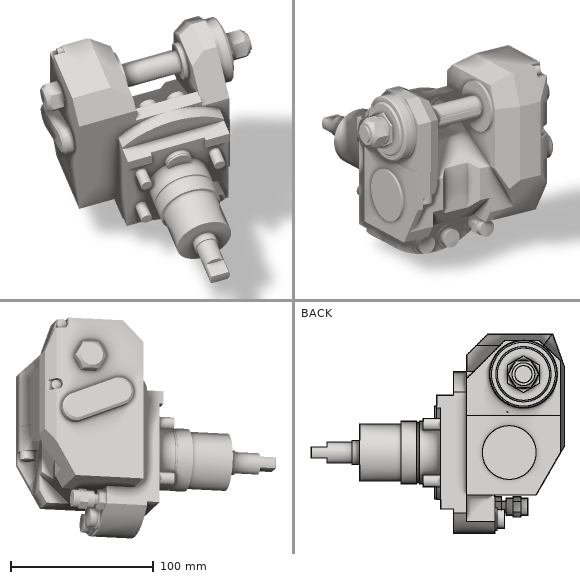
import cadquery as cq
import math


CLEAR = 142.4
GAP_HALF = 24.4
FLOOR_Z = -29.9
BEVEL = math.radians(30)

FRONT_LEFT_X = -68.7
FRONT_TOP_Z = 83.1
FRONT_OUTER_Y = -66.8
FRONT_SIDE_BEVEL_Y = -39.5
FRONT_TOP_BEVEL_Y = -38.5
FRONT_TOP_LEFT_X = -60.5
FRONT_SHOULDER_Z = 60.2
FRONT_BACK_CHAMFER = 14.8
FRONT_EDGE_CHAMFER_X = 6.0
FRONT_EDGE_CHAMFER_Y = 9.8
NOSE_Z = 4.6
NOSE_FOOT_X = -48.8

REAR_LEFT_X = -66.0
REAR_TOP_Z = 78.7
REAR_OUTER_Y = 45.4
REAR_SIDE_BEVEL_Y = 34.4
REAR_TOP_BEVEL_Y = 35.0
REAR_NOSE_BEVEL_Y = 35.0
REAR_TOP_LEFT_X = -50.9
REAR_BACK_CHAMFER = 26.7
REAR_SHOULDER_Z = 64.5
REAR_RELIEF_DEPTH = 0.5
REAR_RELIEF_Z = 26.2

BED_FACE_X = -54.0
BED_FACE_TOP_Z = 13.9
BED_LEDGE_Z = 30.3
BED_FILLET = 8.0
BED_SLOPE = math.radians(30)
BED_UNDERCUT_Z = -10.0
BED_UNDERCUT_SLOPE = math.radians(43)
BED_RECESS_DEPTH = 6.5
BED_RECESS_HALF_MOUTH = 15.8
BED_RECESS_HALF_FLOOR = 10.0
DOVETAIL_ANGLE = math.radians(29.5)

REAR_SLOT_RADIUS = 5.5
REAR_SLOT_BACK_X = -54.5
REAR_SLOT_X = REAR_SLOT_BACK_X - REAR_SLOT_RADIUS
REAR_SLOT_Y = 35.6
REAR_SLOT_TOP_Z = 8.2
REAR_SCREW_RADIUS = 5.3
REAR_SCREW_LENGTH = 5.7

COVER_CENTRES = ((-49.8, 18.0), (-18.7, 30.6))
COVER_RADIUS = 9.8
COVER_THICKNESS = 8.5
COVER_CHAMFER = 1.8

SCREW_POCKETS = ((-57.8, 79.4), (-61.8, 35.5))
SCREW_POCKET_RADIUS = 3.7
SCREW_POCKET_DEPTH = 8.2
POCKET_SCREW_RADIUS = 3.4
POCKET_SCREW_LENGTH = 4.3

PLUG_X = -29.9
PLUG_RADIUS = 18.9
PLUG_THICKNESS = 2.1

ARBOR_X = -39.9
ARBOR_Z = 55.0
ARBOR_RADIUS = 8.0
KEY_WIDTH = 4.0
KEY_END_Y = 19.8
KEY_HEIGHT = 1.6
FRONT_COLLAR_RADIUS = 18.3
FRONT_COLLAR_LENGTH = 2.3
REAR_COLLAR_RADIUS = 13.2
REAR_COLLAR_LENGTH = 3.7
BEARING_RADIUS = 23.5
BEARING_FACE_Y = 54.1
BEARING_CHAMFER = 1.0
SHIM_RADIUS = 23.9
SHIM_FACE_Y = 46.5
CAP_RADIUS = 19.4
CAP_FACE_Y = 55.7
CAP_CHAMFER = 1.0
NECK_RADIUS = 10.0
WASHER_START_Y = 56.6
WASHER_END_Y = 58.0
WASHER_FLATS = 22.2
NUT_FLATS = 18.9
NUT_START_Y = 60.2
NUT_END_Y = 71.7
ARBOR_END_Y = 73.3
ARBOR_END_RADIUS = 6.0
BOLT_SEAT_RADIUS = 9.3
BOLT_SEAT_LENGTH = 0.9
BOLT_END_Y = -79.2
NUT_FACE_RADIUS = 7.8
NUT_CHAMFER_LENGTH = 4.0

FLANGE_RADIUS = 56.8
FLANGE_HALF_WIDTH = 37.7
FLANGE_THICKNESS = 9.3
UPPER_PLATE_X = -9.6
LOWER_PLATE_X = -19.8
LOWER_PLATE_SIDE_Y = 29.7
PLATE_TOP_Z = 40.2
PLATE_BOTTOM_Z = -39.7
PLATE_FACE_X = 18.3
PAD_FACE_X = 21.0
PAD_BOTTOM_Z = 31.2
PAD_INNER_Y = 20.1

SHANK_STEPS = (
    (22.0, 33.1),
    (21.0, 34.0),
    (21.5, 35.2),
    (22.0, 46.1),
    (20.1, 75.1),
    (8.5, 80.6),
    (7.5, 109.3),
)
TANG_START_X = 98.0
TANG_HALF_THICKNESS = 4.0
TANG_END_CHAMFER = 0.5

DOWEL_Y = 27.2
DOWEL_Z = 20.0
DOWEL_RADIUS = 4.1
DOWEL_END_X = 30.6
BUTTON_Z = 23.7
BUTTON_STEPS = ((9.5, 21.2), (8.9, 22.6))

BOLT_Y = 10.5
BOLT_Z = 46.6
BOLT_HEAD_RADIUS = 6.5
BOLT_HEAD_HEIGHT = 7.0
BOLT_WASHER_RADIUS = 8.2
BOLT_WASHER_HEIGHT = 1.6

FITTING_Y = -29.4
FITTING_Z = -38.1
FITTING_FLATS = 12.5
FITTING_RADIUS = 6.0
FITTING_NECK_RADIUS = 4.0
FITTING_NUT_BASE_X = -24.5
FITTING_NECK_END_X = -27.8
FITTING_HEX_BACK_X = -32.5
FITTING_HEX_FRONT_X = -38.1
FITTING_END_X = -42.9


def box(x0, x1, y0, y1, z0, z1):
    return cq.Workplane("XY").box(x1 - x0, y1 - y0, z1 - z0, centered=False).translate((x0, y0, z0))


def along_x(x0, x1, y=0.0, z=0.0):
    """Start a sketch at x0 and return it with the length up to x1."""
    return cq.Workplane("YZ", origin=(x0, y, z)), x1 - x0


def cylinder_x(radius, x0, x1, y=0.0, z=0.0):
    sketch, length = along_x(x0, x1, y, z)
    return sketch.circle(radius).extrude(length)


def cylinder_y(radius, y0, y1, x=ARBOR_X, z=ARBOR_Z):
    return cq.Workplane("XZ", origin=(x, y1, z)).circle(radius).extrude(y1 - y0)


def prism_y(points, y0, y1):
    return cq.Workplane("XZ", origin=(0, y1, 0)).polyline(points).close().extrude(y1 - y0)


def hexagon_x(flats, x0, x1, y, z):
    """Hexagonal bar along X with corners pointing up and down."""
    sketch, length = along_x(x0, x1)
    bar = sketch.polygon(6, flats / math.cos(math.pi / 6)).extrude(length)
    return bar.rotate((0, 0, 0), (1, 0, 0), 90).translate((0, y, z))


def hexagon_y(flats, y0, y1, turn=0.0):
    """Hexagonal bar along the arbor with corners fore and aft, unless turned."""
    bar = cq.Workplane("XZ", origin=(0, y1, 0)).polygon(6, flats / math.cos(math.pi / 6)).extrude(y1 - y0)
    return bar.rotate((0, 0, 0), (0, 1, 0), turn).translate((ARBOR_X, 0, ARBOR_Z))


def chamfered_hexagon_y(y_seat, y_face):
    """Arbor nut or bolt head whose corners are turned conically at its face."""
    outward = math.copysign(1, y_face - y_seat)
    corner = NUT_FLATS / math.sqrt(3)
    y_cone = y_face - outward * NUT_CHAMFER_LENGTH
    turned = (
        cq.Workplane("XY")
        .polyline([(0, y_seat), (corner, y_seat), (corner, y_cone), (NUT_FACE_RADIUS, y_face), (0, y_face)])
        .close()
        .revolve(360, (0, 0, 0), (0, 1, 0))
        .translate((ARBOR_X, 0, ARBOR_Z))
    )
    return hexagon_y(NUT_FLATS, min(y_seat, y_face), max(y_seat, y_face)).intersect(turned)


def trim(body, point, outward):
    """Remove everything beyond the plane through point, on the outward side."""
    plane = cq.Plane(origin=point, normal=outward)
    return body.cut(cq.Workplane(plane).rect(2 * CLEAR, 2 * CLEAR).extrude(CLEAR))


def bevel_arm(arm, edges, inward):
    """Bevel inner arm edges, each given as the (x, z) of a point, an outward direction and a start y."""
    for (x, z), (direction_x, direction_z), y in edges:
        size = math.hypot(direction_x, direction_z)
        normal = (
            direction_x / size * math.cos(BEVEL),
            inward * math.sin(BEVEL),
            direction_z / size * math.cos(BEVEL),
        )
        arm = trim(arm, (x, y, z), normal)
    return arm


def front_arm():
    shoulder = (FRONT_LEFT_X, FRONT_SHOULDER_Z)
    top_left = (FRONT_TOP_LEFT_X, FRONT_TOP_Z)
    outline = [
        (NOSE_FOOT_X, FLOOR_Z),
        (FRONT_LEFT_X, NOSE_Z),
        shoulder,
        top_left,
        (-FRONT_BACK_CHAMFER, FRONT_TOP_Z),
        (0, FRONT_TOP_Z - FRONT_BACK_CHAMFER),
        (0, FLOOR_Z),
    ]
    arm = prism_y(outline, FRONT_OUTER_Y, -GAP_HALF)
    slant = (FRONT_SHOULDER_Z - FRONT_TOP_Z, FRONT_TOP_LEFT_X - FRONT_LEFT_X)
    edges = [
        (shoulder, (-1, 0), FRONT_SIDE_BEVEL_Y),
        (shoulder, slant, FRONT_SIDE_BEVEL_Y),
        (top_left, (0, 1), FRONT_TOP_BEVEL_Y),
    ]
    arm = bevel_arm(arm, edges, 1)
    arm = trim(
        arm,
        (FRONT_LEFT_X + FRONT_EDGE_CHAMFER_X, FRONT_OUTER_Y, 0),
        (-FRONT_EDGE_CHAMFER_Y, -FRONT_EDGE_CHAMFER_X, 0),
    )
    return cut_screw_pockets(arm)


def cut_screw_pockets(arm):
    """Screw seats that break out toward -X; the upper one also breaks out of the top."""
    floor_y = FRONT_OUTER_Y + SCREW_POCKET_DEPTH
    radius = SCREW_POCKET_RADIUS
    for x, z in SCREW_POCKETS:
        arm = arm.cut(cylinder_y(radius, FRONT_OUTER_Y, floor_y, x, z))
        arm = arm.cut(box(-CLEAR, x, FRONT_OUTER_Y, floor_y, z - radius, z + radius))
        if z + radius >= FRONT_TOP_Z:
            arm = arm.cut(box(x - radius, x + radius, FRONT_OUTER_Y, floor_y, z, FRONT_TOP_Z))
        arm = arm.union(cylinder_y(POCKET_SCREW_RADIUS, floor_y - POCKET_SCREW_LENGTH, floor_y, x, z))
    return arm


def rear_arm():
    shoulder = (REAR_LEFT_X, REAR_SHOULDER_Z)
    top_left = (REAR_TOP_LEFT_X, REAR_TOP_Z)
    nose_z = NOSE_Z - (REAR_LEFT_X - FRONT_LEFT_X) * (NOSE_Z - FLOOR_Z) / (NOSE_FOOT_X - FRONT_LEFT_X)
    outline = [
        (NOSE_FOOT_X, FLOOR_Z),
        (REAR_LEFT_X, nose_z),
        shoulder,
        top_left,
        (-REAR_BACK_CHAMFER, REAR_TOP_Z),
        (0, REAR_TOP_Z - REAR_BACK_CHAMFER),
        (0, FLOOR_Z),
    ]
    arm = prism_y(outline, GAP_HALF, REAR_OUTER_Y)
    slant = (REAR_SHOULDER_Z - REAR_TOP_Z, REAR_TOP_LEFT_X - REAR_LEFT_X)
    upper_edges = [
        (shoulder, (-1, 0), REAR_SIDE_BEVEL_Y),
        (shoulder, slant, REAR_SIDE_BEVEL_Y),
        (top_left, (0, 1), REAR_TOP_BEVEL_Y),
    ]
    nose_edges = [(shoulder, (-1, 0), REAR_NOSE_BEVEL_Y)]
    relief_y = REAR_OUTER_Y - REAR_RELIEF_DEPTH
    upper_space = box(-CLEAR, 0, GAP_HALF, relief_y, REAR_RELIEF_Z, CLEAR)
    nose_space = box(-CLEAR, 0, GAP_HALF, REAR_OUTER_Y, FLOOR_Z, REAR_RELIEF_Z)
    upper = bevel_arm(arm, upper_edges, -1).intersect(upper_space)
    nose = bevel_arm(arm, nose_edges, -1).intersect(nose_space)
    return upper.union(nose)


def cut_rear_screw_slot(arm):
    """Slot rising from the nose of the rear arm, with a screw head under its roof."""
    x, y, top = REAR_SLOT_X, REAR_SLOT_Y, REAR_SLOT_TOP_Z
    bore = cq.Workplane("XY", origin=(x, y, FLOOR_Z)).circle(REAR_SLOT_RADIUS).extrude(top - FLOOR_Z)
    mouth = box(-CLEAR, x, GAP_HALF, y + REAR_SLOT_RADIUS, FLOOR_Z, top)
    side = box(-CLEAR, REAR_SLOT_BACK_X, GAP_HALF, y, FLOOR_Z, top)
    screw = cq.Workplane("XY", origin=(x, y, top)).circle(REAR_SCREW_RADIUS).extrude(-REAR_SCREW_LENGTH)
    return arm.cut(bore).cut(mouth).cut(side).union(screw)


def dovetail():
    """Clearance in front of the web that widens downward into both arms."""
    flare = (BED_FACE_TOP_Z - FLOOR_Z) * math.tan(DOVETAIL_ANGLE)
    sketch, length = along_x(-CLEAR, BED_FACE_X)
    outline = [
        (-GAP_HALF, BED_FACE_TOP_Z),
        (GAP_HALF, BED_FACE_TOP_Z),
        (GAP_HALF + flare, FLOOR_Z),
        (-GAP_HALF - flare, FLOOR_Z),
    ]
    return sketch.polyline(outline).close().extrude(length)


def bed():
    """Web joining the arms, with a filleted ledge, a sloped front and a recessed face."""
    sketch, length = along_x(BED_FACE_X, 0)
    web = (
        sketch.moveTo(-GAP_HALF, FLOOR_Z)
        .lineTo(GAP_HALF, FLOOR_Z)
        .lineTo(GAP_HALF, BED_LEDGE_Z)
        .lineTo(BED_FILLET - GAP_HALF, BED_LEDGE_Z)
        .tangentArcPoint((-GAP_HALF, BED_LEDGE_Z + BED_FILLET), relative=False)
        .close()
        .extrude(length)
    )
    web = trim(web, (BED_FACE_X, 0, BED_FACE_TOP_Z), (-math.sin(BED_SLOPE), 0, math.cos(BED_SLOPE)))
    undercut = (-math.sin(BED_UNDERCUT_SLOPE), 0, -math.cos(BED_UNDERCUT_SLOPE))
    web = trim(web, (BED_FACE_X, 0, BED_UNDERCUT_Z), undercut)
    recess_x = BED_FACE_X + BED_RECESS_DEPTH
    recess = [
        (BED_FACE_X, -BED_RECESS_HALF_MOUTH),
        (recess_x, -BED_RECESS_HALF_FLOOR),
        (recess_x, BED_RECESS_HALF_FLOOR),
        (BED_FACE_X, BED_RECESS_HALF_MOUTH),
    ]
    return web.cut(cq.Workplane("XY", origin=(0, 0, FLOOR_Z)).polyline(recess).close().extrude(CLEAR))


def oblong_cover():
    (x0, z0), (x1, z1) = COVER_CENTRES
    length = math.hypot(x1 - x0, z1 - z0) + 2 * COVER_RADIUS
    tilt = math.degrees(math.atan2(z1 - z0, x1 - x0))
    return (
        cq.Workplane("XZ", origin=((x0 + x1) / 2, FRONT_OUTER_Y, (z0 + z1) / 2))
        .slot2D(length, 2 * COVER_RADIUS, tilt)
        .extrude(COVER_THICKNESS)
        .faces("<Y")
        .chamfer(COVER_CHAMFER)
    )


def arbor():
    shaft = cylinder_y(ARBOR_RADIUS, FRONT_OUTER_Y, NUT_END_Y)
    front_collar = cylinder_y(FRONT_COLLAR_RADIUS, -GAP_HALF, FRONT_COLLAR_LENGTH - GAP_HALF)
    rear_collar = cylinder_y(REAR_COLLAR_RADIUS, GAP_HALF - REAR_COLLAR_LENGTH, GAP_HALF)
    key = (
        cq.Workplane("YZ", origin=(ARBOR_X - ARBOR_RADIUS - KEY_HEIGHT, 0, ARBOR_Z))
        .slot2D(2 * KEY_END_Y, KEY_WIDTH)
        .extrude(ARBOR_RADIUS)
    )
    return shaft.union(front_collar).union(rear_collar).union(key)


def arbor_ends():
    """Bearing, washer and nut behind the rear arm; bolt head on the front arm."""
    bearing_start = REAR_OUTER_Y - REAR_RELIEF_DEPTH
    bearing = cylinder_y(BEARING_RADIUS, bearing_start, BEARING_FACE_Y).faces(">Y").chamfer(BEARING_CHAMFER)
    cap = cylinder_y(CAP_RADIUS, BEARING_FACE_Y, CAP_FACE_Y).faces(">Y").chamfer(CAP_CHAMFER)
    seat_y = FRONT_OUTER_Y - BOLT_SEAT_LENGTH
    return (
        bearing.union(cylinder_y(SHIM_RADIUS, bearing_start, SHIM_FACE_Y))
        .union(cap)
        .union(cylinder_y(NECK_RADIUS, CAP_FACE_Y, NUT_START_Y))
        .union(hexagon_y(WASHER_FLATS, WASHER_START_Y, WASHER_END_Y, turn=30))
        .union(chamfered_hexagon_y(NUT_START_Y, NUT_END_Y))
        .union(cylinder_y(ARBOR_END_RADIUS, NUT_END_Y, ARBOR_END_Y))
        .union(cylinder_y(BOLT_SEAT_RADIUS, seat_y, FRONT_OUTER_Y))
        .union(chamfered_hexagon_y(seat_y, BOLT_END_Y))
    )


def flange():
    """Round flange with flat sides, its backing plates, and the stepped seat behind it."""
    disc = cylinder_x(FLANGE_RADIUS, LOWER_PLATE_X, FLANGE_THICKNESS)
    half = FLANGE_HALF_WIDTH
    rim = disc.intersect(box(0, FLANGE_THICKNESS, -half, half, -CLEAR, CLEAR))
    lower = disc.intersect(box(LOWER_PLATE_X, 0, -half, LOWER_PLATE_SIDE_Y, -CLEAR, FLOOR_Z))
    upper = box(UPPER_PLATE_X, 0, -GAP_HALF, GAP_HALF, BED_LEDGE_Z, FLANGE_RADIUS)
    seat = box(0, PLATE_FACE_X, -half, half, PLATE_BOTTOM_Z, PLATE_TOP_Z)
    body = rim.union(lower).union(upper).union(seat)
    for y0, y1 in ((-half, -PAD_INNER_Y), (PAD_INNER_Y, half)):
        body = body.union(box(PLATE_FACE_X, PAD_FACE_X, y0, y1, PAD_BOTTOM_Z, PLATE_TOP_Z))
    for z in (-BUTTON_Z, BUTTON_Z):
        for radius, end_x in BUTTON_STEPS:
            body = body.union(cylinder_x(radius, PLATE_FACE_X, end_x, 0, z))
        for y in (-DOWEL_Y, DOWEL_Y):
            dowel_z = math.copysign(DOWEL_Z, z)
            body = body.union(cylinder_x(DOWEL_RADIUS, PLATE_FACE_X, DOWEL_END_X, y, dowel_z))
    return body


def shank():
    body = None
    start_x = PLATE_FACE_X
    for radius, end_x in SHANK_STEPS:
        step = cylinder_x(radius, start_x, end_x)
        body = step if body is None else body.union(step)
        start_x = end_x
    body = body.faces(">X").chamfer(TANG_END_CHAMFER)
    for z0, z1 in ((TANG_HALF_THICKNESS, CLEAR), (-CLEAR, -TANG_HALF_THICKNESS)):
        body = body.cut(box(TANG_START_X, start_x, -CLEAR, CLEAR, z0, z1))
    return body


def flange_bolts():
    bolts = cq.Workplane("XY")
    for seat_x, z in ((UPPER_PLATE_X, BOLT_Z), (LOWER_PLATE_X, -BOLT_Z)):
        for y in (-BOLT_Y, BOLT_Y):
            bolts = bolts.add(cylinder_x(BOLT_WASHER_RADIUS, seat_x - BOLT_WASHER_HEIGHT, seat_x, y, z))
            bolts = bolts.add(cylinder_x(BOLT_HEAD_RADIUS, seat_x - BOLT_HEAD_HEIGHT, seat_x, y, z))
    return bolts.combine()


def hose_fitting():
    y, z = FITTING_Y, FITTING_Z
    return (
        hexagon_x(FITTING_FLATS, FITTING_NUT_BASE_X, LOWER_PLATE_X, y, z)
        .union(cylinder_x(FITTING_NECK_RADIUS, FITTING_NECK_END_X, FITTING_NUT_BASE_X, y, z))
        .union(cylinder_x(FITTING_RADIUS, FITTING_END_X, FITTING_NECK_END_X, y, z))
        .union(hexagon_x(FITTING_FLATS, FITTING_HEX_FRONT_X, FITTING_HEX_BACK_X, y, z))
    )


arms = front_arm().union(cut_rear_screw_slot(rear_arm())).cut(dovetail())
plug = cylinder_y(PLUG_RADIUS, REAR_OUTER_Y, REAR_OUTER_Y + PLUG_THICKNESS, PLUG_X, 0)

result = (
    arms.union(bed())
    .union(flange())
    .union(shank())
    .union(plug)
    .union(oblong_cover())
    .union(arbor())
    .union(arbor_ends())
    .union(flange_bolts())
    .union(hose_fitting())
)